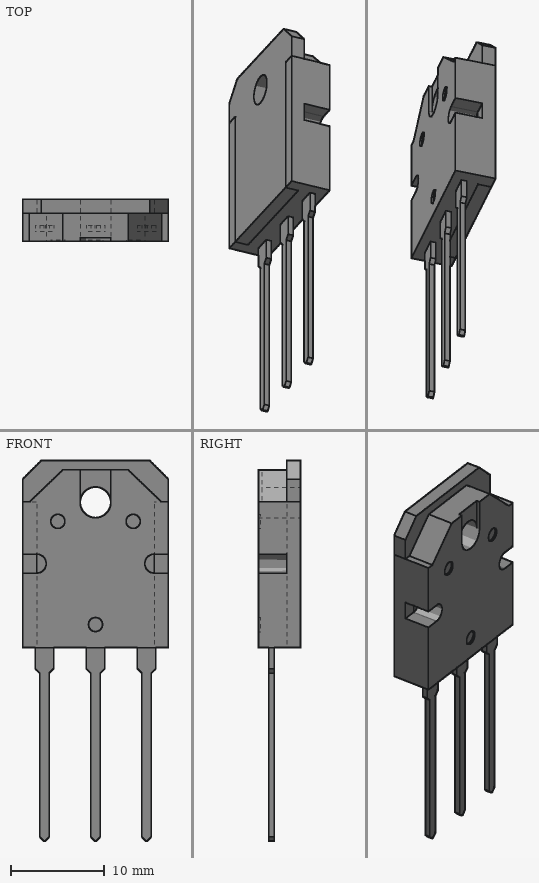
import cadquery as cq

width = 15.5
depth = 4.5
total_height = 40.5
body_height = 19.93
body_bottom = total_height - body_height

plate_thickness = 1.5
plate_front = depth - plate_thickness
plate_chamfer = 2.0
plate_inset = 1.5
plate_lower_width = width - 2 * plate_inset

housing_top = total_height - 1.0
housing_top_width = 6.95
shoulder_z = total_height - 4.4
shoulder_width = 0.73

hole_diameter = 3.25
hole_z = total_height - 4.45
slot_depth = 0.35

notch_height = 2.02
notch_straight = plate_inset
notch_z = total_height - 10.98

mark_diameter = 1.5
mark_depth = 0.2
upper_mark_x = 4.0
upper_mark_z = total_height - 6.5
lower_mark_z = total_height - 17.45

lead_pitch = 5.43
lead_thickness = 0.6
lead_front = 1.1
lead_root_width = 2.0
lead_width = 1.0
lead_root_length = 2.23
lead_taper_height = (lead_root_width - lead_width) / 2
lead_tip_width = 0.2
lead_tip_height = 0.45


def extrude_back(sketch, front, thickness):
    """Extrude an XZ sketch toward +Y, starting at Y = front."""
    return sketch.extrude(-thickness).translate((0, front, 0))


def box_between(x_size, front, back, bottom, top):
    """Box centred on X = 0 between the given Y and Z limits."""
    return cq.Workplane("XY").box(x_size, back - front, top - bottom, centered=(True, False, False)).translate(
        (0, front, bottom)
    )


def disc(x, z, diameter, front, thickness):
    """Round cutter along Y."""
    return extrude_back(cq.Workplane("XZ").center(x, z).circle(diameter / 2), front, thickness)


def make_plate():
    upper = box_between(width, plate_front, depth, shoulder_z, total_height)
    upper = upper.edges("|Y and >Z").chamfer(plate_chamfer)
    lower = box_between(plate_lower_width, plate_front, depth, body_bottom, shoulder_z)
    return upper.union(lower).cut(disc(0, hole_z, hole_diameter, 0, depth))


def make_notch(side):
    """Side notch cutter; side is -1 for left and +1 for right."""
    outer_x = side * width / 2
    round_x = outer_x - side * notch_straight
    half_height = notch_height / 2
    sketch = (
        cq.Workplane("XZ")
        .moveTo(outer_x, notch_z + half_height)
        .lineTo(round_x, notch_z + half_height)
        .threePointArc((round_x - side * half_height, notch_z), (round_x, notch_z - half_height))
        .lineTo(outer_x, notch_z - half_height)
        .close()
    )
    return extrude_back(sketch, 0, plate_front)


def make_housing():
    shoulder_x = width / 2 - shoulder_width
    outline = cq.Workplane("XZ").polyline([
        (-width / 2, body_bottom),
        (-width / 2, shoulder_z),
        (-shoulder_x, shoulder_z),
        (-housing_top_width / 2, housing_top),
        (housing_top_width / 2, housing_top),
        (shoulder_x, shoulder_z),
        (width / 2, shoulder_z),
        (width / 2, body_bottom),
    ]).close()
    front_block = extrude_back(outline, 0, plate_front)

    rims = box_between(width, plate_front, depth, body_bottom, shoulder_z)
    rims = rims.cut(box_between(plate_lower_width, plate_front, depth, body_bottom, shoulder_z))
    housing = front_block.union(rims)

    housing = housing.cut(disc(0, hole_z, hole_diameter, 0, depth))
    housing = housing.cut(box_between(hole_diameter, 0, slot_depth, hole_z, housing_top))
    for side in (-1, 1):
        housing = housing.cut(make_notch(side))
    for x, z in ((-upper_mark_x, upper_mark_z), (upper_mark_x, upper_mark_z), (0, lower_mark_z)):
        housing = housing.cut(disc(x, z, mark_diameter, 0, mark_depth))
    return housing


def make_lead(x):
    root_end = body_bottom - lead_root_length
    right_side = [
        (lead_root_width / 2, body_bottom),
        (lead_root_width / 2, root_end),
        (lead_width / 2, root_end - lead_taper_height),
        (lead_width / 2, lead_tip_height),
        (lead_tip_width / 2, 0),
    ]
    left_side = [(-px, pz) for px, pz in reversed(right_side)]
    outline = cq.Workplane("XZ").polyline(right_side + left_side).close()
    return extrude_back(outline, lead_front, lead_thickness).translate((x, 0, 0))


plate = make_plate()
housing = make_housing()
leads = [make_lead(index * lead_pitch) for index in (-1, 0, 1)]

result = cq.Compound.makeCompound([plate.val(), housing.val(), *[lead.val() for lead in leads]])